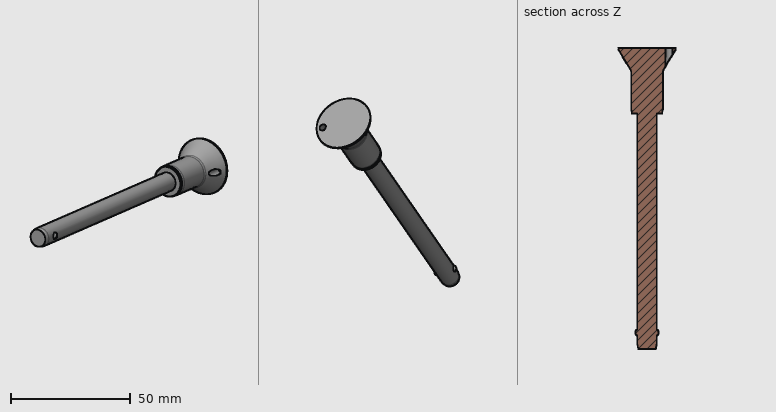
import cadquery as cq
import math

length = 125.7
pin_radius = 4.09
tip_chamfer_length = 1.9
tip_chamfer_depth = 0.4

rim_radius = 12.0
rim_thickness = 0.8
flare_end = 9.0
neck_end = 10.0
body_radius = 6.72
body_end = 24.9
collar_end = 26.3
collar_taper = 0.06
handle_length = 27.4
nose_radius = 6.4
neck_fillet_radius = 2.0

ball_radius = 1.5
ball_reach = 4.9
ball_y = 6.9

hole_radius = 1.45
hole_offset = 9.2


def make_pin():
    """Plain round pin with a slightly tapered tip."""
    outline = [
        (0, 0),
        (pin_radius - tip_chamfer_depth, 0),
        (pin_radius, tip_chamfer_length),
        (pin_radius, length - rim_thickness),
        (0, length - rim_thickness),
    ]
    return cq.Workplane("XY").polyline(outline).close().revolve(360, (0, 0, 0), (0, 1, 0))


def make_handle():
    """Flared handle blended into a cylindrical body with a tapered collar and nose."""
    neck_angle = math.asin((neck_end - flare_end) / neck_fillet_radius)
    arc_center_radius = body_radius + neck_fillet_radius

    def neck_point(angle):
        return (
            arc_center_radius - neck_fillet_radius * math.cos(angle),
            length - neck_end + neck_fillet_radius * math.sin(angle),
        )

    collar_radius = body_radius - collar_taper
    profile = (
        cq.Workplane("XY")
        .moveTo(0, length)
        .lineTo(rim_radius, length)
        .lineTo(rim_radius, length - rim_thickness)
        .lineTo(*neck_point(neck_angle))
        .threePointArc(neck_point(neck_angle / 2), neck_point(0))
        .lineTo(body_radius, length - body_end)
        .lineTo(collar_radius, length - collar_end)
        .lineTo(nose_radius, length - collar_end)
        .lineTo(nose_radius, length - handle_length)
        .lineTo(0, length - handle_length)
        .close()
    )
    return profile.revolve(360, (0, 0, 0), (0, 1, 0))


def make_ball(side):
    """Locking ball standing out of the pin on the given side of X."""
    center_x = side * (ball_reach - ball_radius)
    return cq.Workplane("XY").sphere(ball_radius).translate((center_x, ball_y, 0))


def make_lanyard_hole():
    """Cutter for the hole through the flare, parallel to the pin."""
    return (
        cq.Workplane("XZ", origin=(hole_offset, length, 0))
        .circle(hole_radius)
        .extrude(neck_end)
    )


result = make_pin().union(make_handle())
for side in (-1, 1):
    result = result.union(make_ball(side))
result = result.cut(make_lanyard_hole())